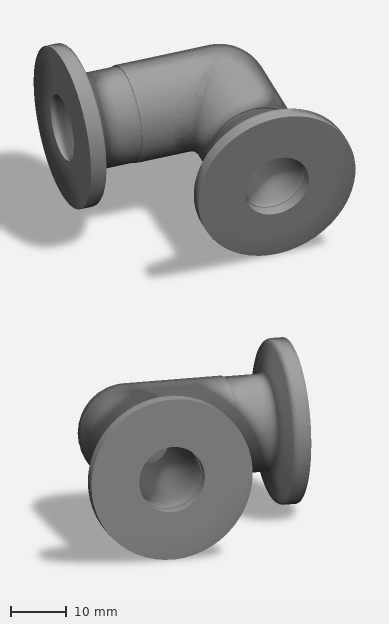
import cadquery as cq
import math

leg_length = 30.0
flange_radius = 15.0
flange_rim_width = 3.0
flange_back_angle = 15.0
rim_fillet = 1.0
neck_radius = 8.8
neck_fillet = 0.6
body_radius = 9.0
body_leg_length = 18.0
crotch_fillet = 3.0
bore_radius = 6.0
mouth_radius = 6.1
mouth_depth = 2.3
bore_tip_angle = 120.0

back_slope = math.tan(math.radians(flange_back_angle))
cone_outer_distance = leg_length - flange_rim_width
cone_inner_distance = cone_outer_distance - (flange_radius - neck_radius) * back_slope
bore_tip_depth = bore_radius / math.tan(math.radians(bore_tip_angle / 2))


def revolve_about_leg(profile):
    """Revolve a closed (radius, distance) profile into a leg pointing along -Y."""
    upright = profile.close().revolve(360, (0, 0, 0), (0, 1, 0))
    return upright.rotate((0, 0, 0), (0, 0, 1), 180)


def ring_at(distance):
    """Select the circular edge centred on the leg along -Y at this distance from the origin."""
    return cq.selectors.NearestToPointSelector((0, -distance, 0))


def turn_to_x(leg):
    """Turn a leg pointing along -Y so that it points along +X."""
    return leg.rotate((0, 0, 0), (0, 0, 1), 90)


def make_body():
    """Two cylinders with a spherical outer corner and a rounded inner corner."""
    leg = cq.Workplane("XZ").circle(body_radius).extrude(body_leg_length)
    body = leg.union(turn_to_x(leg)).union(cq.Workplane("XY").sphere(body_radius))
    inner_corner_edges = body.edges("%ELLIPSE")
    return inner_corner_edges.fillet(crotch_fillet)


def make_flanged_neck():
    """Neck and flange of the leg along -Y, with a conical flange back."""
    profile = (
        cq.Workplane("XY")
        .moveTo(0, body_leg_length)
        .lineTo(neck_radius, body_leg_length)
        .lineTo(neck_radius, cone_inner_distance)
        .lineTo(flange_radius, cone_outer_distance)
        .lineTo(flange_radius, leg_length)
        .lineTo(0, leg_length)
    )
    neck = revolve_about_leg(profile)
    neck = neck.edges(ring_at(cone_inner_distance)).fillet(neck_fillet)
    return neck.edges(ring_at(cone_outer_distance)).fillet(rim_fillet)


def make_bore():
    """Bore of the leg along -Y, ending in a drill-point cone past the elbow centre."""
    profile = (
        cq.Workplane("XY")
        .moveTo(0, -bore_tip_depth)
        .lineTo(bore_radius, 0)
        .lineTo(bore_radius, leg_length - mouth_depth)
        .lineTo(mouth_radius, leg_length - mouth_depth)
        .lineTo(mouth_radius, leg_length)
        .lineTo(0, leg_length)
    )
    return revolve_about_leg(profile)


flanged_neck = make_flanged_neck()
bore = make_bore()

elbow = make_body().union(flanged_neck).union(turn_to_x(flanged_neck))
result = elbow.cut(bore).cut(turn_to_x(bore))